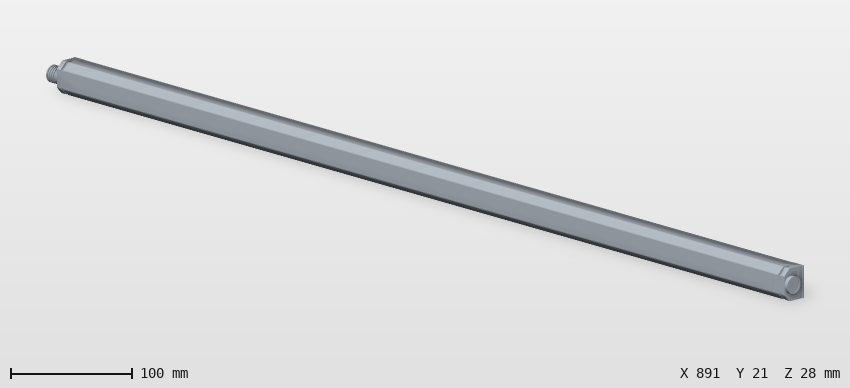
import cadquery as cq
import math

total_length = 891.0
depth = 21.0
height = 28.0
corner_bevel = 5.8
bevel_angle = 45.0
edge_radius = 1.8

plug_diameter = 15.0
plug_length = 12.0
plug_root = 6.5
stub_length = 2.6
stub_recess_diameters = (12.0,)
ring_count = 4
ring_width = 1.2
ring_groove_depth = 0.8
socket_diameters = (12.0, 8.0, 4.0)
socket_step = 0.6

cap_length = 13.0
skin_step = 0.2
groove_start = 5.5
groove_width = 3.0
groove_depth = 1.0
groove_reach = 12.0
back_lip_length = 1.0
back_lip_thickness = 1.2
end_recess_insets = (1.6, 3.6)
end_recess_step = 0.5

body_length = total_length - plug_length - stub_length
body_left = -total_length / 2 + plug_length
body_right = body_left + body_length
front = -depth / 2
back = depth / 2
plug_y = front + plug_diameter / 2

flat_setback = corner_bevel + edge_radius * math.tan(math.radians(bevel_angle / 2))
front_flat_height = height - 2 * flat_setback
side_flat_start = front + flat_setback


def make_block(x_limits, y_limits, z_limits):
    """Box between the given limits along each axis."""
    limits = (x_limits, y_limits, z_limits)
    sizes = [end - start for start, end in limits]
    return cq.Workplane("XY").box(*sizes, centered=False).translate([start for start, end in limits])


def make_bar(x_limits, inset=0.0, back_side=back):
    """Bar with both front edges bevelled; inset shrinks the front, top and bottom."""
    x_start, x_end = x_limits
    half_height = height / 2 - inset
    front_side = front + inset
    return (
        cq.Workplane("YZ", origin=(x_start, 0, 0))
        .moveTo(back_side, -half_height)
        .lineTo(front_side + corner_bevel, -half_height)
        .lineTo(front_side, -half_height + corner_bevel)
        .lineTo(front_side, half_height - corner_bevel)
        .lineTo(front_side + corner_bevel, half_height)
        .lineTo(back_side, half_height)
        .close()
        .extrude(x_end - x_start)
    )


def make_cylinder(x_start, length, diameter):
    """Round bar along X on the connector axis."""
    return cq.Workplane("YZ", origin=(x_start, plug_y, 0)).circle(diameter / 2).extrude(length)


def make_body():
    """Bar with softened bevel edges and its flat sides lowered between the caps."""
    body = make_bar((body_left, body_right)).edges("|X and (not >Y)").fillet(edge_radius)
    middle = (body_left + cap_length, body_right - cap_length)
    half_flat = front_flat_height / 2
    half_height = height / 2
    side_flat = (side_flat_start, back)
    body = body.cut(make_block(middle, (front, front + skin_step), (-half_flat, half_flat)))
    body = body.cut(make_block(middle, side_flat, (half_height - skin_step, half_height)))
    return body.cut(make_block(middle, side_flat, (-half_height, -half_height + skin_step)))


def cut_end_details(body, x_outer, inward):
    """Shape one end; inward is +1 or -1 along X."""

    def span(start, end):
        return sorted((x_outer + inward * start, x_outer + inward * end))

    half_height = height / 2
    full_height = (-half_height, half_height)
    body = body.cut(make_block(span(0, back_lip_length), (front, back - back_lip_thickness), full_height))

    groove_limits = span(groove_start, groove_start + groove_width)
    groove_back = front + groove_reach
    core = make_bar(groove_limits, groove_depth)
    for z_limits in ((front_flat_height / 2, half_height), (-half_height, -front_flat_height / 2)):
        body = body.cut(make_block(groove_limits, (front, groove_back), z_limits).cut(core))

    for step, inset in enumerate(end_recess_insets, start=1):
        recess_limits = span(0, back_lip_length + step * end_recess_step)
        body = body.cut(make_bar(recess_limits, inset, front + plug_diameter))
    return body


def cut_socket(body, x_outer, inward, diameters):
    """Sink round steps into an end of the connector, each narrower and deeper."""
    for step, diameter in enumerate(diameters, start=1):
        step_depth = step * socket_step
        body = body.cut(make_cylinder(min(x_outer, x_outer + inward * step_depth), step_depth, diameter))
    return body


def make_plug():
    """Connector with a ribbed grip and a stepped socket in its outer face."""
    x_start = body_left - plug_length
    plug = make_cylinder(x_start, plug_length + plug_root, plug_diameter)
    for index in range(ring_count):
        groove_x = x_start + ring_width * (2 * index + 1)
        core = make_cylinder(groove_x, ring_width, plug_diameter - 2 * ring_groove_depth)
        plug = plug.cut(make_cylinder(groove_x, ring_width, plug_diameter).cut(core))
    return cut_socket(plug, x_start, 1, socket_diameters)


def make_stub():
    """Short round end with a shallow round hollow."""
    stub = make_cylinder(body_right - plug_root, stub_length + plug_root, plug_diameter)
    return cut_socket(stub, body_right + stub_length, -1, stub_recess_diameters)


result = make_body()
for end_x, direction in ((body_left, 1), (body_right, -1)):
    result = cut_end_details(result, end_x, direction)
result = result.union(make_plug()).union(make_stub())